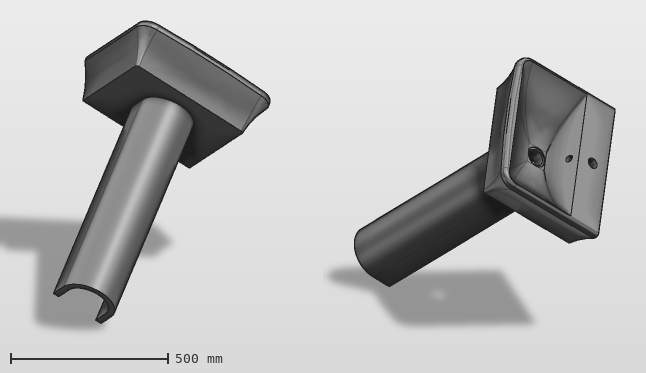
import cadquery as cq
import math

UP = (0, math.sqrt(2 / 3), math.sqrt(1 / 3))
WIDTH_DIRECTION = (math.sqrt(1 / 2), math.sqrt(1 / 6), -math.sqrt(1 / 3))


rim_width = 507.0
rim_depth = 406
rim_bow = 9.0
rim_corner = 50.0
lip_height = 23.0
lip_fillet = 11.0
waist_z = -72.0
waist_inset = 23.0
waist_front_inset = 26.0
waist_corner = 27.0
waist_bow = 4.0
basin_height = 152.0
base_width = 417.0
base_depth = 362.0
base_corner = 9.0
base_bow = 1.0

ledge_depth = 118.0
bowl_side_inset = 13.0
bowl_front_inset = 16.0
bowl_back_corner = 3.0
bowl_front_corner = 35.0
bowl_mid_z = -72.0
bowl_mid_share = 0.38
bowl_floor_z = -110.0
bowl_floor_half = 36.0
bowl_floor_corner = 2.0

drain_y = -201.0
drain_diameter = 56.0
drain_seat_diameter = 70.0
drain_seat_depth = 5.0
tap_y = -60.0
tap_diameter = 36.0
overflow_z = -39
overflow_diameter = 24.0
overflow_end_y = -101.5

pedestal_height = 744
pedestal_radius = 93.0
pedestal_wall = 20.0
pedestal_leg = 68


def arc_middle(center, radius, x_sign, y_sign):
    """Middle point of a quarter arc around a corner centre."""
    reach = radius * math.sqrt(1 / 2)
    return (center[0] + x_sign * reach, center[1] + y_sign * reach)


def basin_section(z, width, depth, bow, corner):
    """Square-backed wire with rounded front corners and a slightly bowed front."""
    half = width / 2
    shoulder_y = bow - depth
    center_y = shoulder_y + corner
    center_x = half - corner
    return (
        cq.Workplane("XY").workplane(offset=z)
        .moveTo(half, 0)
        .lineTo(-half, 0)
        .lineTo(-half, center_y)
        .threePointArc(arc_middle((-center_x, center_y), corner, -1, -1), (-center_x, shoulder_y))
        .threePointArc((0, -depth), (center_x, shoulder_y))
        .threePointArc(arc_middle((center_x, center_y), corner, 1, -1), (half, center_y))
        .close()
    )


def bowl_section(z, half, back_y, front_y, back_corner, front_corner):
    """Wire of a rectangle whose back and front corners have their own radii."""
    back_x = half - back_corner
    front_x = half - front_corner
    back_center_y = back_y - back_corner
    front_center_y = front_y + front_corner
    return (
        cq.Workplane("XY").workplane(offset=z)
        .moveTo(back_x, back_y)
        .lineTo(-back_x, back_y)
        .threePointArc(arc_middle((-back_x, back_center_y), back_corner, -1, 1), (-half, back_center_y))
        .lineTo(-half, front_center_y)
        .threePointArc(arc_middle((-front_x, front_center_y), front_corner, -1, -1), (-front_x, front_y))
        .lineTo(front_x, front_y)
        .threePointArc(arc_middle((front_x, front_center_y), front_corner, 1, -1), (half, front_center_y))
        .lineTo(half, back_center_y)
        .threePointArc(arc_middle((back_x, back_center_y), back_corner, 1, 1), (back_x, back_y))
        .close()
    )


def loft_through(sections):
    """Smooth solid through a list of closed sections."""
    return cq.Workplane(cq.Solid.makeLoft([section.val() for section in sections]))


def make_basin_outside():
    """Flared basin block under a rounded lip."""
    rim = basin_section(-lip_height, rim_width, rim_depth, rim_bow, rim_corner)
    waist = basin_section(
        waist_z, rim_width - 2 * waist_inset, rim_depth - waist_front_inset, waist_bow, waist_corner
    )
    base = basin_section(-basin_height, base_width, base_depth, base_bow, base_corner)
    lip = rim.extrude(lip_height)
    lip = lip.faces(">Z").edges("not >Y").fillet(lip_fillet)
    return loft_through([base, waist, rim]).union(lip)


def between(start, end, share):
    return start + share * (end - start)


def make_bowl():
    """Hollow that sweeps from the rim down to a small floor around the drain."""
    half = rim_width / 2 - bowl_side_inset
    back_y = -ledge_depth
    front_y = bowl_front_inset - rim_depth + rim_bow
    floor_back_y = drain_y + bowl_floor_half
    floor_front_y = drain_y - bowl_floor_half
    opening = bowl_section(0, half, back_y, front_y, bowl_back_corner, bowl_front_corner)
    middle = bowl_section(
        bowl_mid_z,
        between(half, bowl_floor_half, bowl_mid_share),
        between(back_y, floor_back_y, bowl_mid_share),
        between(front_y, floor_front_y, bowl_mid_share),
        bowl_back_corner,
        between(bowl_front_corner, bowl_floor_corner, bowl_mid_share),
    )
    floor = bowl_section(
        bowl_floor_z, bowl_floor_half, floor_back_y, floor_front_y, bowl_floor_corner, bowl_floor_corner
    )
    return loft_through([floor, middle, opening])


def vertical_hole(y, diameter, bottom_z):
    """Upright cutter from a given depth to the top of the basin."""
    return cq.Workplane("XY").workplane(offset=bottom_z).center(0, y).circle(diameter / 2).extrude(-bottom_z)


def make_overflow():
    """Blind horizontal cutter that enters the back wall of the bowl."""
    return (
        cq.Workplane("XZ", origin=(0, overflow_end_y, overflow_z))
        .circle(overflow_diameter / 2)
        .extrude(overflow_end_y - drain_y)
    )


def make_basin():
    return (
        make_basin_outside()
        .cut(make_bowl())
        .cut(vertical_hole(drain_y, drain_seat_diameter, bowl_floor_z - drain_seat_depth))
        .cut(vertical_hole(drain_y, drain_diameter, -basin_height))
        .cut(vertical_hole(tap_y, tap_diameter, -basin_height))
        .cut(make_overflow())
    )


def u_outline(radius):
    """Closed outline with a half-round front and straight legs towards the back."""
    leg_end_y = drain_y + pedestal_leg
    return (
        cq.Workplane("XY").workplane(offset=-basin_height)
        .moveTo(radius, leg_end_y)
        .lineTo(-radius, leg_end_y)
        .lineTo(-radius, drain_y)
        .threePointArc((0, drain_y - radius), (radius, drain_y))
        .close()
    )


def make_pedestal():
    """U-shaped shell, open at the back, that carries the basin."""
    outside = u_outline(pedestal_radius).extrude(-pedestal_height)
    inside = u_outline(pedestal_radius - pedestal_wall).extrude(-pedestal_height)
    return outside.cut(inside)


def place(body):
    """Tilt a body from its local frame into its final position."""
    frame = cq.Plane(origin=(0, 0, 0), xDir=WIDTH_DIRECTION, normal=UP)
    return body.val().moved(cq.Location(frame))


basin = place(make_basin())
pedestal = place(make_pedestal())

result = cq.Compound.makeCompound([basin, pedestal])